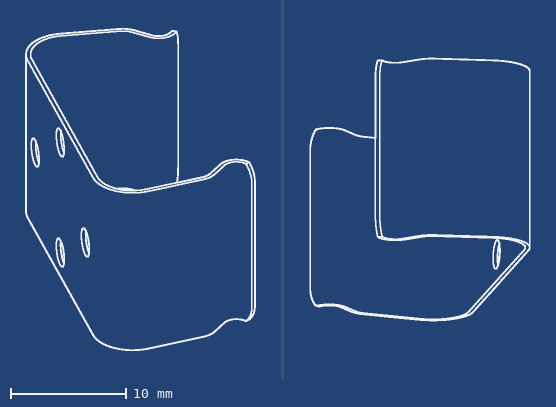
import cadquery as cq
import math

width = 27.93
depth = 14.11
height = 15.88
thickness = 0.4

base_bend_inner = 3.175
shoulder_bend_inner = 1.588
curl_bend_inner = 1.19

base_heading = 180.0
wall_heading = 83.0
slant_heading = 45.0
lip_heading = 150.0

slant_length = 1.74
lip_length = 0.72

lip_corner_width = 1.7

hole_diameter = 2.5
hole_offset_x = 7.94
hole_offset_z = 5.556

half_thickness = thickness / 2
base_radius = base_bend_inner + half_thickness
shoulder_radius = shoulder_bend_inner + half_thickness
curl_radius = curl_bend_inner + half_thickness
base_half_length = width / 2 - base_radius - half_thickness


def cosd(angle):
    return math.cos(math.radians(angle))


def sind(angle):
    return math.sin(math.radians(angle))


def bend_rise(radius, start, end):
    """Y gained along a bend that turns from one heading to another."""
    return radius * abs(cosd(end) - cosd(start))


wall_rise = (
    depth
    - half_thickness
    - bend_rise(base_radius, base_heading, wall_heading)
    - bend_rise(shoulder_radius, wall_heading, slant_heading)
    - slant_length * sind(slant_heading)
    - bend_rise(curl_radius, slant_heading, lip_heading)
    - lip_length * sind(lip_heading)
    - half_thickness * abs(cosd(lip_heading))
)
wall_length = wall_rise / sind(wall_heading)


class SheetPath:
    """Middle line of the sheet, followed as straight runs and bends."""

    def __init__(self, x, y, heading):
        self.x = x
        self.y = y
        self.heading = heading
        self.stations = [(x, y, heading)]
        self.middles = []

    def straight(self, length):
        self.x += length * cosd(self.heading)
        self.y += length * sind(self.heading)
        self.stations.append((self.x, self.y, self.heading))
        self.middles.append(None)

    def bend(self, radius, new_heading):
        turn = new_heading - self.heading
        side = math.copysign(radius, turn)
        center_x = self.x - side * sind(self.heading)
        center_y = self.y + side * cosd(self.heading)
        ends = []
        for heading in (self.heading + turn / 2, new_heading):
            ends.append((center_x + side * sind(heading), center_y - side * cosd(heading), heading))
        self.middles.append(ends[0])
        self.stations.append(ends[1])
        self.x, self.y, self.heading = ends[1]


def shifted(station, offset):
    """Point beside a station, on the left of its heading when offset is positive."""
    x, y, heading = station
    return (x - offset * sind(heading), y + offset * cosd(heading))


def left_arm_path():
    path = SheetPath(0, half_thickness, base_heading)
    path.straight(base_half_length)
    path.bend(base_radius, wall_heading)
    path.straight(wall_length)
    path.bend(shoulder_radius, slant_heading)
    path.straight(slant_length)
    path.bend(curl_radius, lip_heading)
    path.straight(lip_length)
    return path


def trace(outline, stations, middles, offset):
    """Add one face of the sheet to the outline, starting from its first station."""
    for station, middle in zip(stations[1:], middles):
        end = shifted(station, offset)
        if middle is None:
            outline = outline.lineTo(*end)
        else:
            outline = outline.threePointArc(shifted(middle, offset), end)
    return outline


def half_strip(path):
    """Left half of the bent strip, centred on Z = 0."""
    stations = path.stations
    outline = cq.Workplane("XY").workplane(offset=-height / 2)
    outline = outline.moveTo(*shifted(stations[0], half_thickness))
    outline = trace(outline, stations, path.middles, half_thickness)
    outline = outline.lineTo(*shifted(stations[-1], -half_thickness))
    outline = trace(outline, stations[::-1], path.middles[::-1], -half_thickness)
    return outline.close().extrude(height)


def lip_corner_cutter(path, end):
    """Waste outside one rounded lip corner; end is +1 for the top and -1 for the bottom.

    The round is an arc tangent to the lip edge that meets the strip's end at the curl.
    """
    radius = (lip_corner_width**2 + lip_length**2) / (2 * lip_length)
    half_angle = math.asin(lip_corner_width / radius) / 2
    strip_end = end * height / 2
    round_start = strip_end - end * lip_corner_width
    middle_point = (
        -radius * (1 - math.cos(half_angle)),
        round_start + end * radius * math.sin(half_angle),
    )
    lip_plane = cq.Plane(
        origin=(path.x, path.y, 0),
        xDir=(cosd(path.heading), sind(path.heading), 0),
        normal=(sind(path.heading), -cosd(path.heading), 0),
    )
    return (
        cq.Workplane(lip_plane)
        .moveTo(0, round_start)
        .threePointArc(middle_point, (-lip_length, strip_end))
        .lineTo(0, strip_end)
        .close()
        .extrude(thickness, both=True)
    )


def base_holes():
    centers = [
        (-hole_offset_x, 0),
        (hole_offset_x, 0),
        (0, -hole_offset_z),
        (0, hole_offset_z),
    ]
    return (
        cq.Workplane("XZ")
        .pushPoints(centers)
        .circle(hole_diameter / 2)
        .extrude(thickness, both=True)
    )


arm_path = left_arm_path()
left_half = half_strip(arm_path)
for end in (-1, 1):
    left_half = left_half.cut(lip_corner_cutter(arm_path, end))

right_half = left_half.mirror("YZ")
result = left_half.union(right_half).clean().cut(base_holes())